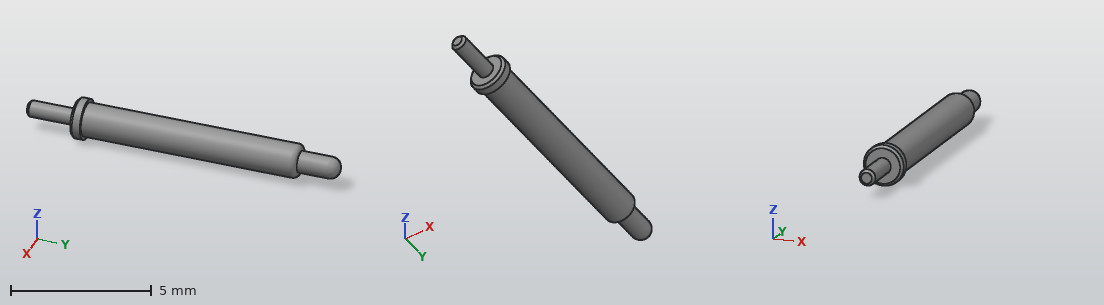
import cadquery as cq

total_length = 11.8

tail_diameter = 0.6
tail_length = 1.8
tail_chamfer = 0.1

flange_diameter = 1.5
flange_thickness = 0.4
flange_chamfer = 0.1

barrel_diameter = 1.25
barrel_length = 8.1
barrel_fillet = 0.2

plunger_diameter = 0.8
plunger_fillet = 0.37

tail_end = -total_length / 2
flange_start = tail_end + tail_length
barrel_start = flange_start + flange_thickness
barrel_end = barrel_start + barrel_length
plunger_length = total_length / 2 - barrel_end


def rod(diameter, start, length):
    """Solid cylinder along +Y whose -Y face lies at `start`."""
    plane = cq.Workplane("XZ", origin=(0, start, 0))
    return plane.circle(diameter / 2).extrude(-length)


tail = rod(tail_diameter, tail_end, tail_length)
tail = tail.faces("<Y").chamfer(tail_chamfer)

flange = rod(flange_diameter, flange_start, flange_thickness)
flange = flange.faces("<Y").chamfer(flange_chamfer)

barrel = rod(barrel_diameter, barrel_start, barrel_length)
barrel = barrel.faces(">Y").edges().fillet(barrel_fillet)

plunger = rod(plunger_diameter, barrel_end, plunger_length)
plunger = plunger.faces(">Y").edges().fillet(plunger_fillet)

result = tail.union(flange).union(barrel).union(plunger)